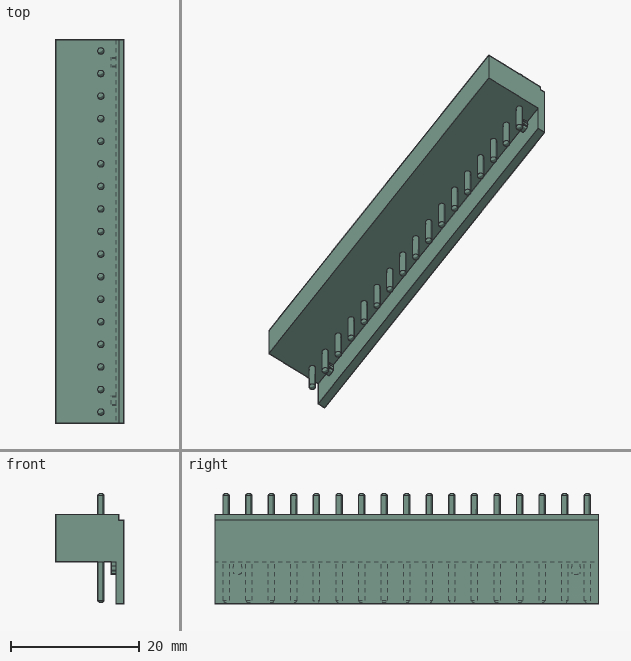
import cadquery as cq

length = 59.5
depth = 10.6
height = 17.15

block_bottom = 6.5
block_top = 13.85
wall_thickness = 1.25
step_width = 0.8
step_height = 0.9

pin_count = 17
pitch = length / pin_count
pin_diameter = 1.0
pin_x = 7.0
pin_bottom = 0.2
dome_height = 0.35

boss_height = 0.7
boss_z = 5.5
boss_diameter = 1.4
rib_width = 1.2
rib_bottom = 4.5

wall_x = depth - wall_thickness


def make_housing():
    """L-shaped section with a stepped upper corner, extruded along the whole length."""
    outline = [
        (0, block_bottom),
        (wall_x, block_bottom),
        (wall_x, 0),
        (depth, 0),
        (depth, block_top - step_height),
        (depth - step_width, block_top - step_height),
        (depth - step_width, block_top),
        (0, block_top),
    ]
    section = cq.Workplane("XZ").polyline(outline).close()
    return section.extrude(length / 2, both=True)


def make_pin(y):
    """Straight round pin through the block with a shallow spherical dome at each end."""
    radius = pin_diameter / 2
    sphere_radius = (radius**2 + dome_height**2) / (2 * dome_height)
    half_radius = radius / 2
    drop = sphere_radius - (sphere_radius**2 - half_radius**2) ** 0.5

    profile = (
        cq.Workplane("XZ", origin=(pin_x, y, 0))
        .moveTo(0, pin_bottom)
        .threePointArc((half_radius, pin_bottom + drop), (radius, pin_bottom + dome_height))
        .lineTo(radius, height - dome_height)
        .threePointArc((half_radius, height - drop), (0, height))
        .close()
    )
    return profile.revolve(360, (0, 0), (0, 1))


def make_boss(y):
    """Upright rib hanging below the block, rounded at its foot and bulged by a round boss."""
    foot_radius = boss_z - rib_bottom
    half_width = rib_width / 2
    corner_z = boss_z - (foot_radius**2 - half_width**2) ** 0.5

    disc = cq.Workplane("YZ", origin=(wall_x, y, boss_z))
    disc = disc.circle(boss_diameter / 2).extrude(-boss_height)
    rib = (
        cq.Workplane("YZ", origin=(wall_x, y, 0))
        .moveTo(-half_width, block_bottom)
        .lineTo(-half_width, corner_z)
        .threePointArc((0, rib_bottom), (half_width, corner_z))
        .lineTo(half_width, block_bottom)
        .close()
        .extrude(-boss_height)
    )
    return disc.union(rib)


result = make_housing()

first_pin_y = (pitch - length) / 2
for index in range(pin_count):
    result = result.union(make_pin(first_pin_y + index * pitch))

boss_y = length / 2 - pitch
for y in (-boss_y, boss_y):
    result = result.union(make_boss(y))